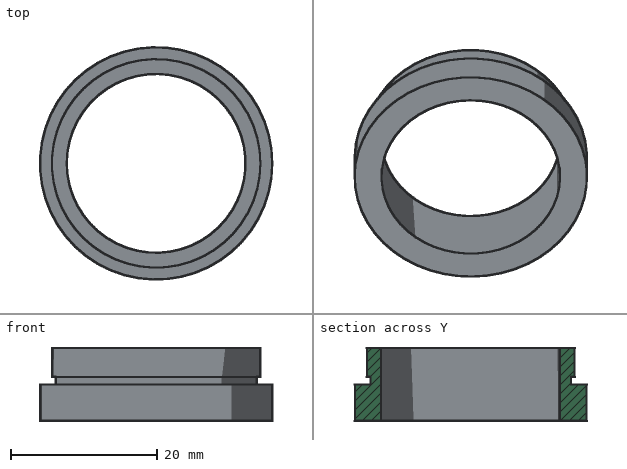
import cadquery as cq

flange_diameter = 31.75
collar_diameter = 28.48
groove_diameter = 27.5
bore_diameter = 24.38
total_height = 10.0
groove_width = 1.02
flange_height = total_height / 2
collar_height = total_height - flange_height - groove_width


def add_disc(body, diameter, height):
    """Stack a concentric disc on the top face of the body."""
    return body.faces(">Z").workplane().circle(diameter / 2).extrude(height)


ring = cq.Workplane("XY").circle(flange_diameter / 2).extrude(flange_height)
ring = add_disc(ring, groove_diameter, groove_width)
ring = add_disc(ring, collar_diameter, collar_height)

result = ring.faces(">Z").workplane().hole(bore_diameter)